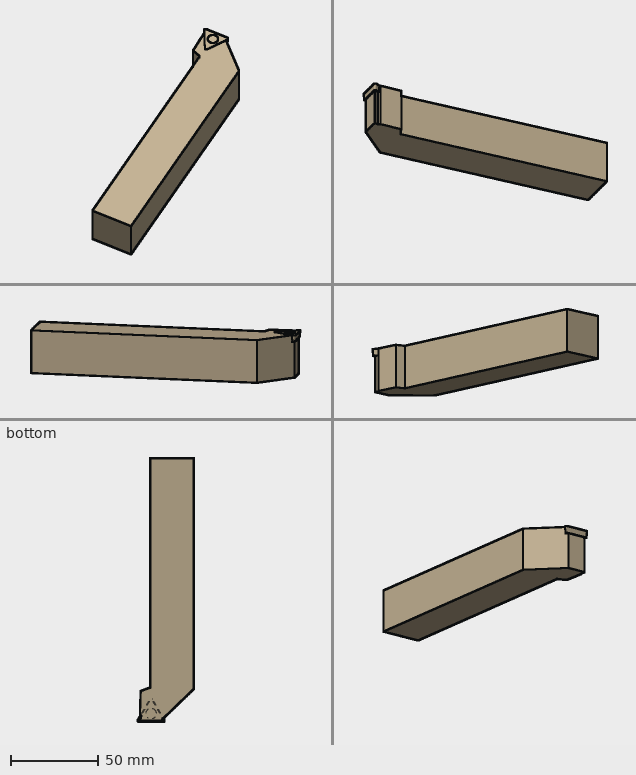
import cadquery as cq
import math

SHANK_SIZE = 25.1
TOTAL_LENGTH = 151.3
OVERHANG = 7.1
HEAD_FRONT_GAP = 0.8
NECK_Y = 131.5
HEAD_REAR_X = -5.5
HEAD_REAR_Y = 133.5
HEAD_SIDE_X = -5.9
STEP_Y = 147.0
STEP_RISE = 0.9
STEP_DEPTH = 0.9
NOSE_X = -5.7
NOSE_CHAMFER = 0.6
BEVEL_Y = 132.4
BEVEL_ANGLE = 44.0

INSCRIBED_RADIUS = 4.8
CORNER_RADIUS = 0.9
INSERT_THICKNESS = 4.0
CLEARANCE_ANGLE = 7.0
STUD_DIAMETER = 6.0

corner_distance = 2 * (INSCRIBED_RADIUS - CORNER_RADIUS)
tip_reach = corner_distance * math.cos(math.radians(30)) + CORNER_RADIUS
insert_x = tip_reach - OVERHANG
insert_y = TOTAL_LENGTH - INSCRIBED_RADIUS


def make_insert_blank():
    """Tapered triangular insert, without its hole, with one side facing forward."""
    triangle_circumradius = 2 * INSCRIBED_RADIUS
    outline = (
        cq.Sketch()
        .regularPolygon(triangle_circumradius, 3, angle=60)
        .vertices()
        .fillet(CORNER_RADIUS)
    )
    return (
        cq.Workplane("XY", origin=(insert_x, insert_y, SHANK_SIZE))
        .placeSketch(outline)
        .extrude(-INSERT_THICKNESS, taper=CLEARANCE_ANGLE)
    )


def make_stud():
    """Round stud that rises from the insert seat, flush with the top face."""
    return (
        cq.Workplane("XY", origin=(insert_x, insert_y, SHANK_SIZE))
        .circle(STUD_DIAMETER / 2)
        .extrude(-INSERT_THICKNESS)
    )


def make_insert():
    return make_insert_blank().cut(make_stud())


def make_holder():
    """Shank and head in one outline, with a fitted seat and stud for the insert."""
    front_y = TOTAL_LENGTH - HEAD_FRONT_GAP
    bevel_run = (front_y - BEVEL_Y) / math.tan(math.radians(BEVEL_ANGLE))
    step_inner_x = HEAD_SIDE_X + STEP_DEPTH
    body = (
        cq.Workplane("XY")
        .polyline([
            (0, 0),
            (SHANK_SIZE, 0),
            (SHANK_SIZE, BEVEL_Y),
            (SHANK_SIZE - bevel_run, front_y),
            (NOSE_X + NOSE_CHAMFER, front_y),
            (NOSE_X, front_y - NOSE_CHAMFER),
            (step_inner_x, STEP_Y + STEP_RISE),
            (HEAD_SIDE_X, STEP_Y),
            (HEAD_REAR_X, HEAD_REAR_Y),
            (0, NECK_Y),
        ])
        .close()
        .extrude(SHANK_SIZE)
    )
    return body.cut(make_insert_blank()).union(make_stud())


holder = make_holder()
insert = make_insert()

result = cq.Compound.makeCompound([holder.val(), insert.val()])